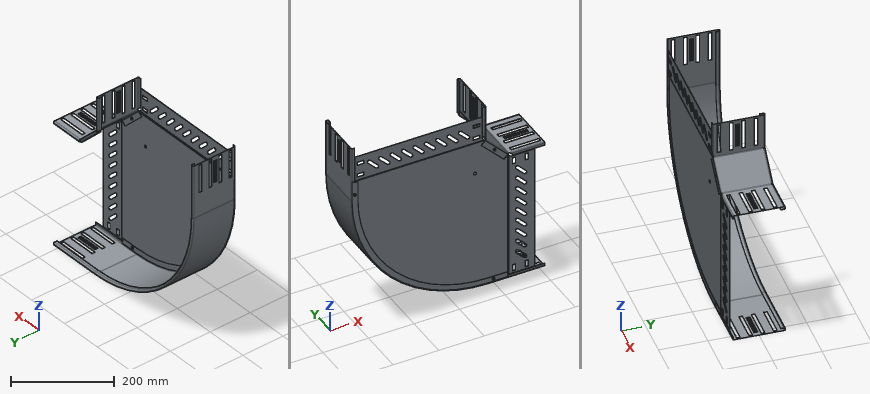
import cadquery as cq
import math


SHEET = 1.0
REACH = 425.0
HEIGHT = 107.0
BEND_RADIUS = 300.0
TRAY_WIDTH = 296.0
CORNER = 346.5
FOLD_RADIUS = 1.0
TURN_ANGLE = 45.0
FOLD_OUTER = FOLD_RADIUS + SHEET
CUT_DEPTH = 4 * SHEET

HOOK_RADIUS = 3.5
HOOK_LEG = 6.0

OUTER_FLANGE = 14.6
OUTER_FLANGE_END = 343.0
OUTER_ARM_FLANGE = 7.0
DIAGONAL_FLANGE = 15.0
INNER_ARM_FLANGE = 7.5
CORNER_GAP = 2.5

JOGGLE_START = 344.4
JOGGLE_LENGTH = 2.0
TAB_START = JOGGLE_START + JOGGLE_LENGTH
TAB_END = 403.0
TAB_GAP = 1.0
TAB_LEFT = OUTER_ARM_FLANGE + TAB_GAP
TAB_RIGHT = TRAY_WIDTH - INNER_ARM_FLANGE - TAB_GAP
TAB_MIDDLE = (TAB_LEFT + TAB_RIGHT) / 2
TAB_FLARE = 4.5
CENTER_HOLE = 272.5
CENTER_HOLE_DIAMETER = 6.0

TAB_SLOT_COUNT = 9
TAB_SLOT_PITCH = 25.0
TAB_SLOT_LENGTH = 32.0
TAB_SLOT_WIDTH = 7.0
TAB_SLOT_ANGLE = 45.0
TAB_SLOT_Z = 373.0
TAB_WINDOW_LENGTH = 14.0
TAB_WINDOW_WIDTH = 7.0
TAB_WINDOW_OFFSET = 127.5
TAB_WINDOW_ROWS = (357.5, 385.5)

LONG_SLOT_LENGTH = 64.5
LONG_SLOT_WIDTH = 7.0
LONG_SLOT_COUNT = 4
LONG_SLOT_PITCH = 25.0
LONG_SLOT_FIRST_Y = 12.75
SHORT_SLOT_LENGTH = 8.0
SHORT_SLOT_WIDTH = 3.0
SHORT_SLOT_COUNT = 9
SHORT_SLOT_PITCH = 6.0
SHORT_SLOT_Y = LONG_SLOT_FIRST_Y + (LONG_SLOT_COUNT - 1) / 2 * LONG_SLOT_PITCH
WALL_SLOT_Z = 388.5

FASTENER_DIAMETER = 5.5
OUTER_FASTENER_INSET = 8.2
OUTER_FASTENER_Z = 313.0
DIAGONAL_FASTENER_INSET = 8.6

MIRROR_NORMAL = cq.Vector(1, 0, -1)
DIAGONAL_LENGTH = math.sqrt(2) * (CORNER - TRAY_WIDTH)
DIAGONAL_MIDDLE = (CORNER + TRAY_WIDTH) / 2
DIAGONAL_FASTENER = DIAGONAL_MIDDLE - DIAGONAL_FASTENER_INSET / math.sqrt(2)


def mirrored(body):
    """The copy of a body on the other side of the plane X = Z."""
    return body.mirror(MIRROR_NORMAL, (0, 0, 0))


def hole_along_y(x, z, diameter):
    """A cutter through the base and the flanges under it."""
    return (
        cq.Workplane("XZ", origin=(x, -SHEET, z))
        .circle(diameter / 2)
        .extrude(-CUT_DEPTH)
    )


def wall_profile(plane, flange):
    """Side wall section: local x runs into the tray from the outer face, local y up the wall."""
    hook_y = HEIGHT - HOOK_RADIUS
    hook_inner = HOOK_RADIUS - SHEET
    diagonal = math.sqrt(0.5)
    fold_mid_outer = FOLD_OUTER * (1 - diagonal)
    fold_mid_inner = FOLD_OUTER - FOLD_RADIUS * diagonal
    return (
        cq.Workplane(plane)
        .moveTo(flange, 0)
        .lineTo(FOLD_OUTER, 0)
        .threePointArc((fold_mid_outer, fold_mid_outer), (0, FOLD_OUTER))
        .lineTo(0, hook_y)
        .threePointArc((HOOK_RADIUS, HEIGHT), (2 * HOOK_RADIUS, hook_y))
        .lineTo(2 * HOOK_RADIUS, hook_y - HOOK_LEG)
        .lineTo(2 * HOOK_RADIUS - SHEET, hook_y - HOOK_LEG)
        .lineTo(2 * HOOK_RADIUS - SHEET, hook_y)
        .threePointArc((HOOK_RADIUS, hook_y + hook_inner), (SHEET, hook_y))
        .lineTo(SHEET, FOLD_OUTER)
        .threePointArc((fold_mid_inner, fold_mid_inner), (FOLD_OUTER, SHEET))
        .lineTo(flange, SHEET)
        .close()
    )


def arm_wall_slots(wall_x):
    """Cutters for the slots in an arm wall whose sheet starts at wall_x."""
    middle_x = wall_x + SHEET / 2
    slots = cq.Workplane("XY")
    for row in range(LONG_SLOT_COUNT):
        y = LONG_SLOT_FIRST_Y + row * LONG_SLOT_PITCH
        slot = cq.Workplane("XY").box(CUT_DEPTH, LONG_SLOT_WIDTH, LONG_SLOT_LENGTH)
        slots = slots.add(slot.translate((middle_x, y, WALL_SLOT_Z)))
    for index in range(SHORT_SLOT_COUNT):
        z = WALL_SLOT_Z + (index - (SHORT_SLOT_COUNT - 1) / 2) * SHORT_SLOT_PITCH
        slot = cq.Workplane("XY").box(CUT_DEPTH, SHORT_SLOT_LENGTH, SHORT_SLOT_WIDTH)
        slots = slots.add(slot.translate((middle_x, SHORT_SLOT_Y, z)))
    return slots.combine()


def make_outer_wall():
    """Curved outer wall with a straight arm at each end."""
    def run(start, end, flange):
        plane = cq.Plane(origin=(0, 0, start), xDir=(1, 0, 0), normal=(0, 0, 1))
        return wall_profile(plane, flange).extrude(end - start)

    arm = run(BEND_RADIUS, OUTER_FLANGE_END, OUTER_FLANGE)
    arm = arm.union(run(OUTER_FLANGE_END, REACH, OUTER_ARM_FLANGE))
    arm = arm.cut(arm_wall_slots(0))
    arm = arm.cut(hole_along_y(OUTER_FASTENER_INSET, OUTER_FASTENER_Z, FASTENER_DIAMETER))

    curve_plane = cq.Plane(origin=(0, 0, BEND_RADIUS), xDir=(1, 0, 0), normal=(0, 0, 1))
    curve = wall_profile(curve_plane, OUTER_FLANGE).revolve(90, (BEND_RADIUS, 1), (BEND_RADIUS, 0))
    return curve.union(arm).union(mirrored(arm))


def make_inner_bracket():
    """Inner wall: a diagonal between two straight arms, joined by folded corners."""
    setback = FOLD_RADIUS * math.tan(math.radians(TURN_ANGLE / 2))
    arm_start = CORNER + setback

    arm_plane = cq.Plane(origin=(TRAY_WIDTH, 0, REACH), xDir=(-1, 0, 0), normal=(0, 0, -1))
    arm = wall_profile(arm_plane, INNER_ARM_FLANGE).extrude(REACH - arm_start)
    relief_start = CORNER + CORNER_GAP
    relief_size = INNER_ARM_FLANGE + SHEET
    relief = (
        cq.Workplane("XZ")
        .moveTo(TRAY_WIDTH, relief_start)
        .lineTo(TRAY_WIDTH - relief_size, relief_start + relief_size)
        .lineTo(TRAY_WIDTH - relief_size, CORNER)
        .lineTo(TRAY_WIDTH, CORNER)
        .close()
        .extrude(-FOLD_OUTER)
    )
    arm = arm.cut(relief).cut(arm_wall_slots(TRAY_WIDTH - SHEET))

    fold_plane = cq.Plane(origin=(TRAY_WIDTH, 0, arm_start), xDir=(-1, 0, 0), normal=(0, 0, -1))
    fold_height = HEIGHT - HOOK_RADIUS - FOLD_OUTER
    fold = (
        cq.Workplane(fold_plane)
        .moveTo(0, FOLD_OUTER)
        .rect(SHEET, fold_height, centered=False)
        .revolve(TURN_ANGLE, (-FOLD_RADIUS, 1), (-FOLD_RADIUS, 0))
    )

    along = math.sqrt(0.5)
    diagonal_plane = cq.Plane(
        origin=(TRAY_WIDTH + setback * along, 0, CORNER - setback * along),
        xDir=(-along, 0, -along),
        normal=(along, 0, -along),
    )
    diagonal = wall_profile(diagonal_plane, DIAGONAL_FLANGE).extrude(DIAGONAL_LENGTH - 2 * setback)
    diagonal = diagonal.cut(hole_along_y(DIAGONAL_FASTENER, DIAGONAL_FASTENER, FASTENER_DIAMETER))
    arm = arm.union(fold)
    return diagonal.union(arm).union(mirrored(arm))


def tab_cutouts():
    """Cutters for the oblique slots and the rectangular windows of a tab."""
    cutouts = cq.Workplane("XY")
    for index in range(TAB_SLOT_COUNT):
        x = TAB_MIDDLE + (index - (TAB_SLOT_COUNT - 1) / 2) * TAB_SLOT_PITCH
        slot = (
            cq.Workplane("XZ", origin=(x, -SHEET, TAB_SLOT_Z))
            .slot2D(TAB_SLOT_LENGTH, TAB_SLOT_WIDTH, -TAB_SLOT_ANGLE)
            .extrude(-CUT_DEPTH)
        )
        cutouts = cutouts.add(slot)
    for side in (-1, 1):
        for z in TAB_WINDOW_ROWS:
            window = cq.Workplane("XY").box(TAB_WINDOW_LENGTH, CUT_DEPTH, TAB_WINDOW_WIDTH)
            cutouts = cutouts.add(window.translate((TAB_MIDDLE + side * TAB_WINDOW_OFFSET, 0, z)))
    return cutouts.combine()


def make_tab():
    """Slotted tab, stepped down by one sheet thickness to lie level with the flanges."""
    flared_right = TAB_RIGHT + TAB_FLARE
    joggle = (
        cq.Workplane("YZ", origin=(TAB_LEFT, 0, 0))
        .moveTo(SHEET, JOGGLE_START)
        .lineTo(2 * SHEET, JOGGLE_START)
        .lineTo(SHEET, TAB_START)
        .lineTo(0, TAB_START)
        .close()
        .extrude(flared_right - TAB_LEFT)
    )
    tab = (
        cq.Workplane("XZ")
        .moveTo(TAB_LEFT, TAB_START)
        .lineTo(flared_right, TAB_START)
        .lineTo(TAB_RIGHT, TAB_START + TAB_FLARE)
        .lineTo(TAB_RIGHT, TAB_END)
        .lineTo(TAB_LEFT, TAB_END)
        .close()
        .extrude(-SHEET)
    )
    return tab.cut(tab_cutouts()).union(joggle)


def make_base_plate():
    """Flat base resting on the flanges inside the walls, with a tab on each arm."""
    inset = FOLD_OUTER
    inner_edge = TRAY_WIDTH - inset
    arc_middle = BEND_RADIUS - (BEND_RADIUS - inset) * math.sqrt(0.5)
    plate = (
        cq.Workplane("XZ", origin=(0, SHEET, 0))
        .moveTo(inset, BEND_RADIUS)
        .lineTo(inset, JOGGLE_START)
        .lineTo(inner_edge, JOGGLE_START)
        .lineTo(JOGGLE_START, inner_edge)
        .lineTo(JOGGLE_START, inset)
        .lineTo(BEND_RADIUS, inset)
        .threePointArc((arc_middle, arc_middle), (inset, BEND_RADIUS))
        .close()
        .extrude(-SHEET)
    )
    holes = [
        (CENTER_HOLE, CENTER_HOLE, CENTER_HOLE_DIAMETER),
        (DIAGONAL_FASTENER, DIAGONAL_FASTENER, FASTENER_DIAMETER),
        (OUTER_FASTENER_INSET, OUTER_FASTENER_Z, FASTENER_DIAMETER),
        (OUTER_FASTENER_Z, OUTER_FASTENER_INSET, FASTENER_DIAMETER),
    ]
    for x, z, diameter in holes:
        plate = plate.cut(hole_along_y(x, z, diameter))
    tab = make_tab()
    return plate.union(tab).union(mirrored(tab))


base_plate = make_base_plate()
outer_wall = make_outer_wall()
inner_bracket = make_inner_bracket()

result = cq.Compound.makeCompound([
    base_plate.solids().val(),
    outer_wall.solids().val(),
    inner_bracket.solids().val(),
])